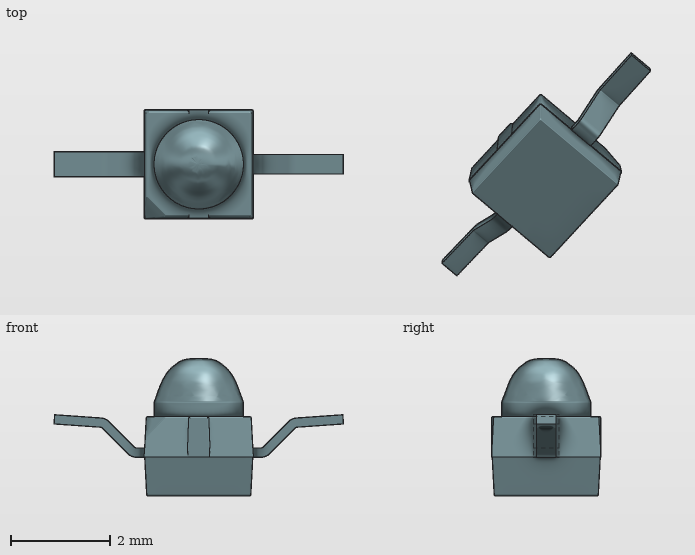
import cadquery as cq
import math

HOUSING_WIDTH = 2.2
LOWER_WIDTH = 2.18
PARTING_Z = 0.79
HOUSING_TOP_Z = 1.6
DRAFT = 3.0
EDGE_RADIUS = 0.035
CORNER_CUT = 0.4

PAD_BASE_WIDTH = 0.49
PAD_TOP_WIDTH = 0.4

LENS_RADIUS = 0.9
LENS_TOP_Z = 2.77
RIM_START_Z = 1.865
RIM_END_Z = 1.914
RIM_INSET = 0.009
DOME_FLANK = (0.8, 2.165)
DOME_MIDDLE = (0.63, 2.495)
DOME_SHOULDER = (0.4, 2.7)

LEAD_SPAN = 5.83
LEAD_THICKNESS = 0.19
LEAD_BOTTOM_Z = 0.78
LEFT_LEAD_WIDTH = 0.51
RIGHT_LEAD_WIDTH = 0.4
RAMP_ANGLE = 45.0
TIP_ANGLE = 4.0
ROOT_BEND_X = 1.354
TIP_BEND_X = 1.957
BEND_INNER_RADIUS = 0.05
LEAD_EMBED = 0.3


def drafted_block(width, height):
    """Square block that stands on Z = 0 and narrows upward."""
    return (
        cq.Workplane("XY")
        .rect(width, width)
        .extrude(height, taper=DRAFT)
    )


def corner_cutter():
    """Slab lying on the plane that cuts off the top corner at -X, -Y."""
    wall_lean = (HOUSING_TOP_Z - PARTING_Z) * math.tan(math.radians(DRAFT))
    half_top = HOUSING_WIDTH / 2 - wall_lean
    corner = cq.Vector(-half_top, -half_top, HOUSING_TOP_Z)
    inward = cq.Vector(1, 1, -1)
    origin = corner + inward * (CORNER_CUT / 3)
    plane = cq.Plane(origin=origin, xDir=(1, -1, 0), normal=inward * -1)
    slab_side = 4 * CORNER_CUT
    return cq.Workplane(plane).rect(slab_side, slab_side).extrude(CORNER_CUT)


def upper_housing():
    """Upper block with its corner mark and rounded edges."""
    height = HOUSING_TOP_Z - PARTING_Z
    block = drafted_block(HOUSING_WIDTH, height).translate((0, 0, PARTING_Z))
    block = block.cut(corner_cutter())
    return block.edges("not <Z").fillet(EDGE_RADIUS)


def lower_housing():
    """Lower block, narrowing downward from the parting plane."""
    block = drafted_block(LOWER_WIDTH, PARTING_Z)
    block = block.mirror("XY").translate((0, 0, PARTING_Z))
    return block.edges("not >Z").fillet(EDGE_RADIUS)


def wall_pads():
    """Bar through the housing whose rounded ends form the pads on both walls."""
    outline = [
        (-PAD_BASE_WIDTH / 2, PARTING_Z),
        (PAD_BASE_WIDTH / 2, PARTING_Z),
        (PAD_TOP_WIDTH / 2, HOUSING_TOP_Z),
        (-PAD_TOP_WIDTH / 2, HOUSING_TOP_Z),
    ]
    bar = cq.Workplane("XZ").polyline(outline).close().extrude(HOUSING_WIDTH / 2, both=True)
    return bar.faces("|Y").edges("not <Z").fillet(EDGE_RADIUS)


def lens():
    """Cylindrical foot, rounded rim and dome, rooted inside the housing."""
    rim_end = (LENS_RADIUS - RIM_INSET, RIM_END_Z)
    lean = 2 * math.atan2(RIM_INSET, RIM_END_Z - RIM_START_Z)
    return (
        cq.Workplane("XZ")
        .moveTo(0, PARTING_Z)
        .lineTo(LENS_RADIUS, PARTING_Z)
        .lineTo(LENS_RADIUS, RIM_START_Z)
        .tangentArcPoint(rim_end, relative=False)
        .spline(
            [DOME_FLANK, DOME_MIDDLE, DOME_SHOULDER, (0, LENS_TOP_Z)],
            tangents=[(-math.sin(lean), math.cos(lean)), (-1, 0)],
            includeCurrent=True,
        )
        .close()
        .revolve(360, (0, 0, 0), (0, 1, 0))
    )


def lead(width):
    """Bent strip leaving the housing toward +X."""
    start_x = HOUSING_WIDTH / 2 - LEAD_EMBED
    root_length = ROOT_BEND_X - start_x
    ramp_length = (TIP_BEND_X - ROOT_BEND_X) / math.cos(math.radians(RAMP_ANGLE))
    tip_length = (LEAD_SPAN / 2 - TIP_BEND_X) / math.cos(math.radians(TIP_ANGLE))
    root_mitre = LEAD_THICKNESS * math.tan(math.radians(RAMP_ANGLE / 2))
    tip_mitre = LEAD_THICKNESS * math.tan(math.radians((RAMP_ANGLE - TIP_ANGLE) / 2))
    strip = (
        cq.Workplane("XZ")
        .moveTo(start_x, LEAD_BOTTOM_Z)
        .hLine(root_length)
        .polarLine(ramp_length, RAMP_ANGLE)
        .polarLine(tip_length, TIP_ANGLE)
        .polarLine(LEAD_THICKNESS, TIP_ANGLE + 90)
        .polarLine(tip_length + tip_mitre, TIP_ANGLE + 180)
        .polarLine(ramp_length + tip_mitre - root_mitre, RAMP_ANGLE + 180)
        .hLine(root_mitre - root_length)
        .close()
        .extrude(width / 2, both=True)
    )
    top_z = LEAD_BOTTOM_Z + LEAD_THICKNESS
    bend_rise = (TIP_BEND_X - ROOT_BEND_X) * math.tan(math.radians(RAMP_ANGLE))
    lean = math.radians(TIP_ANGLE)
    root_outer = (ROOT_BEND_X, 0, LEAD_BOTTOM_Z)
    root_inner = (ROOT_BEND_X - root_mitre, 0, top_z)
    tip_inner = (TIP_BEND_X, 0, LEAD_BOTTOM_Z + bend_rise)
    tip_outer = (
        tip_inner[0] - LEAD_THICKNESS * math.sin(lean) - tip_mitre * math.cos(lean),
        0,
        tip_inner[2] + LEAD_THICKNESS * math.cos(lean) - tip_mitre * math.sin(lean),
    )
    outer_radius = BEND_INNER_RADIUS + LEAD_THICKNESS
    bends = (
        (root_inner, BEND_INNER_RADIUS),
        (root_outer, outer_radius),
        (tip_inner, BEND_INNER_RADIUS),
        (tip_outer, outer_radius),
    )
    for point, radius in bends:
        strip = strip.edges(cq.NearestToPointSelector(point)).fillet(radius)
    return strip


right_lead = lead(RIGHT_LEAD_WIDTH)
left_lead = lead(LEFT_LEAD_WIDTH).mirror("YZ")
housing = upper_housing().union(wall_pads()).union(lower_housing())
result = housing.union(lens()).union(right_lead).union(left_lead)